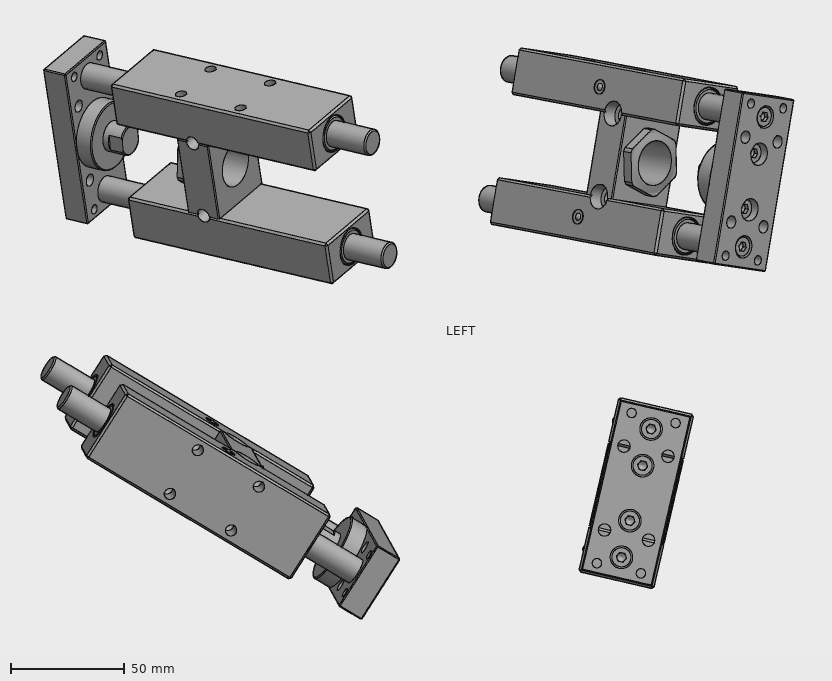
import cadquery as cq
import math

ROLL_ANGLE = 13.0

PLATE_THICKNESS = 12.1
PLATE_WIDTH = 32.0
PLATE_HEIGHT = 77.0
PLATE_CHAMFER = 0.5

ROD_DIAMETER = 12.0
ROD_END_X = 166.0
ROD_CHAMFER = 0.7
ROD_OFFSET = 29.0

BLOCK_START_X = 37.0
BLOCK_LENGTH = 108.0
BLOCK_WIDTH = 34.0
BLOCK_OUTER_Z = 39.5
BLOCK_THICKNESS = 2 * (BLOCK_OUTER_Z - ROD_OFFSET)
BLOCK_INNER_Z = BLOCK_OUTER_Z - BLOCK_THICKNESS
BLOCK_CHAMFER = 1.0

SEAL_OUTER_DIAMETER = 17.0
SEAL_ROOT_DIAMETER = 16.1
SEAL_LIP_DIAMETER = 15.0
SEAL_GROOVE_DEPTH = 0.7

MOUNT_HOLE_DIAMETER = 5.0
MOUNT_HOLE_DEPTH = 11.0
MOUNT_HOLE_START_X = 71.9
MOUNT_HOLE_PITCH_X = 32.2
MOUNT_HOLE_PITCH_Y = 23.0
DRILL_TIP_ANGLE = 118.0

PORT_X = 89.8
PORT_DIAMETER = 6.5
PORT_DEPTH = 0.3
PORT_BALL_DIAMETER = 4.0
PORT_BALL_RISE = 0.5

BEAM_START_X = 70.0
BEAM_LENGTH = 17.0
BEAM_CENTER_X = BEAM_START_X + BEAM_LENGTH / 2
BEAM_CHAMFER = 0.5
BEAM_BOLT_DIAMETER = 6.5
BEAM_BOLT_HEAD_DIAMETER = 11.0
BEAM_BOLT_HEAD_DEPTH = 6.6

NUT_THICKNESS = 4.8
NUT_ACROSS_FLATS = 27.0
NUT_CORNER_DIAMETER = 30.2
NUT_FACE_HEIGHT = 0.7
NUT_FACE_OUTER_DIAMETER = 26.9
NUT_FACE_INNER_DIAMETER = 20.9
NUT_ROTATION = 15.0
NUT_BORE_DIAMETER = 20.0

FLANGE_DIAMETER = 31.5
FLANGE_THICKNESS = 8.1
STUB_DIAMETER = 14.0
STUB_LENGTH = 10.0
STUB_FLATS_LENGTH = 7.0
STUB_ACROSS_FLATS = 12.0
STUB_FLATS_ROTATION = -5.0
COUPLING_CHAMFER = 0.5

PLATE_HOLE_PITCH_Y = 20.0
CORNER_HOLE_DIAMETER = 4.2
CORNER_HOLE_PITCH_Z = 68.0
INNER_HOLE_DIAMETER = 5.5
INNER_HOLE_PITCH_Z = 38.0

COUNTERBORE_DIAMETER = 10.0
HEAD_DIAMETER = 8.5
HEAD_HEIGHT = 5.0
SOCKET_ACROSS_FLATS = 4.0
SOCKET_DEPTH = 2.0
ROD_SCREW_RECESS = 0.7
FLANGE_SCREW_OFFSET = 12.5
FLANGE_SCREW_RECESS = 3.3


def cylinder_x(diameter, start_x, length, y=0.0, z=0.0):
    """Cylinder along +X that starts at start_x."""
    return cq.Workplane("YZ", origin=(start_x, y, z)).circle(diameter / 2).extrude(length)


def hexagon_x(across_flats, start_x, length, z=0.0):
    """Hexagonal bar along +X that starts at start_x."""
    corner_diameter = across_flats / math.cos(math.pi / 6)
    return cq.Workplane("YZ", origin=(start_x, 0, z)).polygon(6, corner_diameter).extrude(length)


def box_x(start_x, length, width, height, z=0.0):
    """Box centred on Y and on the given height, reaching from start_x along +X."""
    return cq.Workplane("XY").box(length, width, height).translate((start_x + length / 2, 0, z))


def cone(radius, tip_angle, base, direction):
    """Cone from a base circle to its tip."""
    height = radius / math.tan(math.radians(tip_angle / 2))
    return cq.Workplane(cq.Solid.makeCone(radius, 0, height, cq.Vector(*base), cq.Vector(*direction)))


def socket_screw_head(recess, z):
    """Screw head whose socket faces -X and ends in a conical bottom."""
    head = cylinder_x(HEAD_DIAMETER, recess, HEAD_HEIGHT, z=z)
    head = head.cut(hexagon_x(SOCKET_ACROSS_FLATS, recess, SOCKET_DEPTH, z))
    tip = cone(SOCKET_ACROSS_FLATS / 2, DRILL_TIP_ANGLE, (recess + SOCKET_DEPTH, 0, z), (1, 0, 0))
    return head.cut(tip)


def front_plate():
    plate = box_x(0, PLATE_THICKNESS, PLATE_WIDTH, PLATE_HEIGHT).edges().chamfer(PLATE_CHAMFER)
    for diameter, pitch_z in (
        (CORNER_HOLE_DIAMETER, CORNER_HOLE_PITCH_Z),
        (INNER_HOLE_DIAMETER, INNER_HOLE_PITCH_Z),
    ):
        for y in (-PLATE_HOLE_PITCH_Y / 2, PLATE_HOLE_PITCH_Y / 2):
            for z in (-pitch_z / 2, pitch_z / 2):
                plate = plate.cut(cylinder_x(diameter, 0, PLATE_THICKNESS, y, z))
    for recess, offset in (
        (ROD_SCREW_RECESS, ROD_OFFSET),
        (FLANGE_SCREW_RECESS, FLANGE_SCREW_OFFSET),
    ):
        for z in (-offset, offset):
            plate = plate.cut(cylinder_x(COUNTERBORE_DIAMETER, 0, recess + HEAD_HEIGHT, z=z))
            plate = plate.union(socket_screw_head(recess, z))
    return plate


def coupling():
    """Round flange behind the plate with a stub that has two wrench flats."""
    flange = cylinder_x(FLANGE_DIAMETER, PLATE_THICKNESS, FLANGE_THICKNESS)
    flange = flange.faces(">X").chamfer(COUPLING_CHAMFER)
    stub_start = PLATE_THICKNESS + FLANGE_THICKNESS
    stub = cylinder_x(STUB_DIAMETER, stub_start, STUB_LENGTH).faces(">X").chamfer(COUPLING_CHAMFER)
    flats_start = stub_start + STUB_LENGTH - STUB_FLATS_LENGTH
    flats_blank = box_x(flats_start, STUB_FLATS_LENGTH, STUB_ACROSS_FLATS, STUB_DIAMETER)
    round_part = box_x(stub_start, STUB_LENGTH - STUB_FLATS_LENGTH, STUB_DIAMETER, STUB_DIAMETER)
    flats_blank = flats_blank.rotate((0, 0, 0), (1, 0, 0), STUB_FLATS_ROTATION)
    return flange.union(stub.intersect(round_part.union(flats_blank)))


def guide_rod(side):
    rod_length = ROD_END_X - PLATE_THICKNESS
    rod = cylinder_x(ROD_DIAMETER, PLATE_THICKNESS, rod_length, z=side * ROD_OFFSET)
    return rod.faces(">X").chamfer(ROD_CHAMFER)


def seal_groove(end_x, inward, z):
    """Ring groove whose inner wall tapers to a smaller lip at the block end."""
    lip_radius = SEAL_LIP_DIAMETER / 2
    root_radius = SEAL_ROOT_DIAMETER / 2
    base = cq.Vector(end_x, 0, z)
    axis = cq.Vector(inward, 0, 0)
    ring = cq.Workplane(cq.Solid.makeCylinder(SEAL_OUTER_DIAMETER / 2, SEAL_GROOVE_DEPTH, base, axis))
    seal = cq.Solid.makeCone(lip_radius, root_radius, SEAL_GROOVE_DEPTH, base, axis)
    return ring.cut(cq.Workplane(seal))


def mounting_hole(x, y, side):
    """Blind hole with a drill tip, going in from the outer face of a block."""
    face = cq.Workplane("XY", origin=(x, y, side * BLOCK_OUTER_Z))
    hole = face.circle(MOUNT_HOLE_DIAMETER / 2).extrude(-side * MOUNT_HOLE_DEPTH)
    tip_base = (x, y, side * (BLOCK_OUTER_Z - MOUNT_HOLE_DEPTH))
    return hole.union(cone(MOUNT_HOLE_DIAMETER / 2, DRILL_TIP_ANGLE, tip_base, (0, 0, -side)))


def guide_block(side):
    """Guide block on the upper (+1) or lower (-1) side."""
    center_z = side * ROD_OFFSET
    block = box_x(BLOCK_START_X, BLOCK_LENGTH, BLOCK_WIDTH, BLOCK_THICKNESS, center_z)
    block = block.edges().chamfer(BLOCK_CHAMFER)
    for end_x, inward in ((BLOCK_START_X, 1), (BLOCK_START_X + BLOCK_LENGTH, -1)):
        block = block.cut(seal_groove(end_x, inward, center_z))
    for x in (MOUNT_HOLE_START_X, MOUNT_HOLE_START_X + MOUNT_HOLE_PITCH_X):
        for y in (-MOUNT_HOLE_PITCH_Y / 2, MOUNT_HOLE_PITCH_Y / 2):
            block = block.cut(mounting_hole(x, y, side))

    back_y = BLOCK_WIDTH / 2
    port_face = cq.Workplane("XZ", origin=(PORT_X, back_y, center_z))
    block = block.cut(port_face.circle(PORT_DIAMETER / 2).extrude(PORT_DEPTH))
    ball_y = back_y + PORT_BALL_RISE - PORT_BALL_DIAMETER / 2
    ball = cq.Workplane("XY").sphere(PORT_BALL_DIAMETER / 2).translate((PORT_X, ball_y, center_z))
    return block.union(ball)


def cross_beam():
    beam = box_x(BEAM_START_X, BEAM_LENGTH, BLOCK_WIDTH, 2 * BLOCK_INNER_Z)
    return beam.edges("|Z").chamfer(BEAM_CHAMFER)


def nut():
    """Hexagon nut with rounded corners and a raised conical end face."""
    start_x = BEAM_START_X - NUT_THICKNESS
    hexagon = hexagon_x(NUT_ACROSS_FLATS, start_x, NUT_THICKNESS)
    hexagon = hexagon.rotate((0, 0, 0), (1, 0, 0), 30 - NUT_ROTATION)
    hexagon = hexagon.intersect(cylinder_x(NUT_CORNER_DIAMETER, start_x, NUT_THICKNESS))
    end_face = cq.Solid.makeCone(
        NUT_FACE_OUTER_DIAMETER / 2,
        NUT_FACE_INNER_DIAMETER / 2,
        NUT_FACE_HEIGHT,
        cq.Vector(start_x, 0, 0),
        cq.Vector(-1, 0, 0),
    )
    return hexagon.union(cq.Workplane(end_face))


def beam_bolt_hole(side):
    """Hole along Y on the joint of beam and block, with a counterbore at the back."""
    front = cq.Workplane("XZ", origin=(BEAM_CENTER_X, -BLOCK_WIDTH / 2, side * BLOCK_INNER_Z))
    hole = front.circle(BEAM_BOLT_DIAMETER / 2).extrude(-BLOCK_WIDTH)
    back = cq.Workplane("XZ", origin=(BEAM_CENTER_X, BLOCK_WIDTH / 2, side * BLOCK_INNER_Z))
    return hole.union(back.circle(BEAM_BOLT_HEAD_DIAMETER / 2).extrude(BEAM_BOLT_HEAD_DEPTH))


body = cross_beam().union(nut())
for block_side in (-1, 1):
    body = body.union(guide_block(block_side))
bore_start = BEAM_START_X - NUT_THICKNESS - NUT_FACE_HEIGHT
bore_length = BEAM_START_X + BEAM_LENGTH - bore_start
body = body.cut(cylinder_x(NUT_BORE_DIAMETER, bore_start, bore_length))
for bolt_side in (-1, 1):
    body = body.cut(beam_bolt_hole(bolt_side))

body = body.union(front_plate()).union(coupling())
for rod_side in (-1, 1):
    body = body.union(guide_rod(rod_side))

result = body.rotate((0, 0, 0), (1, 0, 0), ROLL_ANGLE)